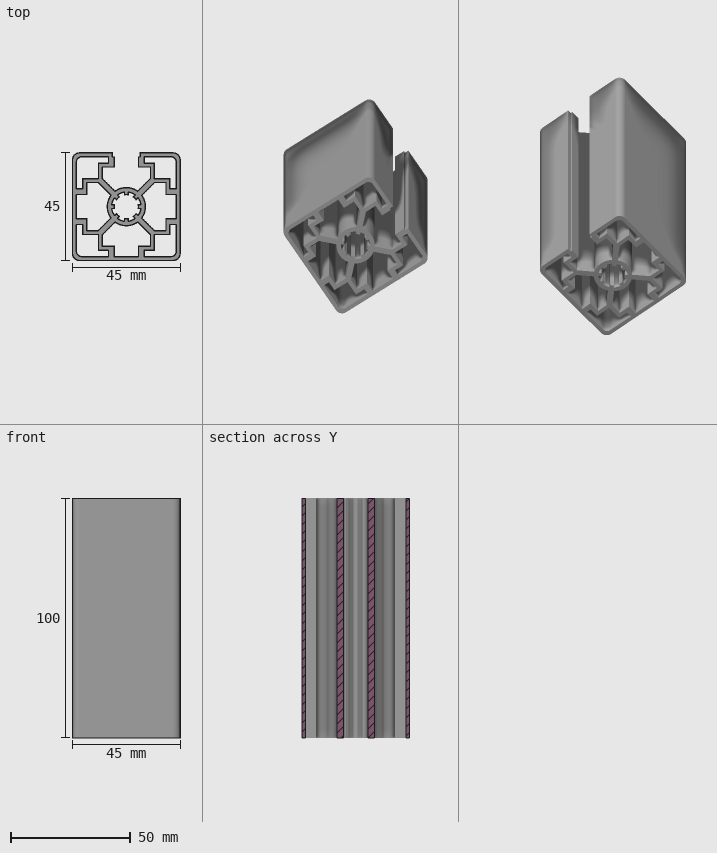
import cadquery as cq

side = 45.0
length = 100.0
half_side = side / 2
outer_radius = 3.0
skin = 1.7
inner_half = half_side - skin
inner_radius = 2.2

slot_wall = 1.7
neck_half_width = 5.0
neck_wall = 2.5
chamber_half_width = 10.0
chamber_top = 16.5
mouth_half_width = 5.8

tube_radius = 8.0
bore_radius = 6.1
rib_tip_radius = 5.0
rib_width = 1.7
rib_count = 8

neck_side = neck_half_width + neck_wall
chamber_side = chamber_half_width + slot_wall
ledge = chamber_top + slot_wall


def prism(points):
    """Full-length prism with the given closed outline."""
    return cq.Workplane("XY").polyline(points).close().extrude(length)


def cylinder(radius):
    """Full-length cylinder on the part axis."""
    return cq.Workplane("XY").circle(radius).extrude(length)


def rounded_square(width, radius):
    """Full-length square bar with rounded long edges."""
    return cq.Workplane("XY").rect(width, width).extrude(length).edges("|Z").fillet(radius)


def turned(body, angle):
    """Copy of a body turned about the part axis."""
    return body.rotate((0, 0, 0), (0, 0, 1), angle)


def slot_chamber():
    """Void of the +Y T-slot, bounded below by the 45 degree webs and the central tube."""
    right_half = [
        (0, chamber_side - chamber_half_width),
        (chamber_half_width, chamber_side),
        (chamber_half_width, chamber_top),
        (neck_half_width, chamber_top),
        (neck_half_width, inner_half),
    ]
    left_half = [(-x, y) for x, y in reversed(right_half[1:])]
    return prism(right_half + left_half).cut(cylinder(tube_radius))


def corner_pocket():
    """Void in the +X +Y corner, between the skin and the walls of two T-slots."""
    outline = [
        (inner_half, inner_half),
        (neck_side, inner_half),
        (neck_side, ledge),
        (chamber_side, ledge),
        (chamber_side, chamber_side),
        (ledge, chamber_side),
        (ledge, neck_side),
        (inner_half, neck_side),
    ]
    return prism(outline).intersect(rounded_square(2 * inner_half, inner_radius))


def ribbed_bore():
    """Void of the central bore, leaving evenly spaced ribs that end on a smaller circle."""
    bore = cylinder(bore_radius)
    spoke = cq.Workplane("XY").rect(2 * bore_radius, rib_width).extrude(length)
    spoke = spoke.translate((bore_radius, 0, 0))
    for index in range(rib_count):
        bore = bore.cut(turned(spoke, index * 360 / rib_count))
    return bore.union(cylinder(rib_tip_radius))


def slot_mouth():
    """Opening of the +Y slot through the skin, slightly wider than the neck."""
    mouth_center = half_side - skin / 2
    return cq.Workplane("XY").center(0, mouth_center).rect(2 * mouth_half_width, skin).extrude(length)


result = rounded_square(side, outer_radius)
chamber = slot_chamber()
pocket = corner_pocket()
for angle in (0, 90, 180, 270):
    result = result.cut(turned(chamber, angle)).cut(turned(pocket, angle))
result = result.cut(ribbed_bore()).cut(slot_mouth())